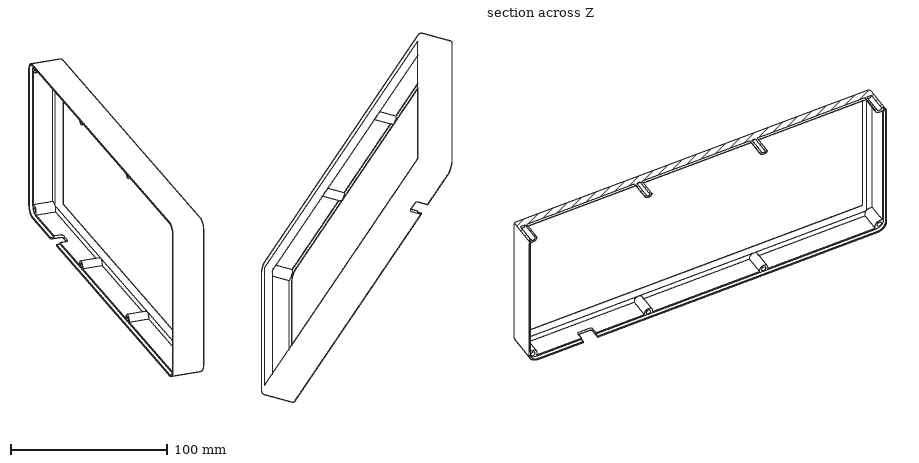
import cadquery as cq
import math

LENGTH = 261.6
DEPTH = 21.5
HEIGHT = 109.5
CORNER_RADIUS = 6.8
BACK_EDGE_FILLET = 1.5

WALL = 2.0
LIP_WALL = 1.0
LIP_DEPTH = 2.4
FLANGE_WIDTH = 6.0
FLANGE_THICKNESS = 5.8

BOSS_DIAMETER = 6.0
SCREW_HOLE_DIAMETER = 3.1
CORNER_BOSS_INSET = 4.2
EDGE_BOSS_INSET = FLANGE_WIDTH - BOSS_DIAMETER / 2
EDGE_BOSS_SPACING = 84.3

NOTCH_WIDTH = 10.5
NOTCH_DEPTH = 8.0
NOTCH_CORNER_RADIUS = 1.3
NOTCH_CENTER_FROM_LEFT = 45.0

FRONT_Y = -DEPTH / 2
BACK_Y = DEPTH / 2
LEDGE_Y = BACK_Y - FLANGE_THICKNESS
SEAT_Y = FRONT_Y + LIP_DEPTH


def plane_at(y):
    """XZ plane at the given Y whose extrusions run toward +Y."""
    return cq.Workplane(cq.Plane(origin=(0, y, 0), xDir=(1, 0, 0), normal=(0, -1, 0)))


def rounded_block(inset, y_start, y_end):
    """Block inset from the outer walls, with corners concentric to the outer ones."""
    block = plane_at(y_start).rect(LENGTH - 2 * inset, HEIGHT - 2 * inset).extrude(y_start - y_end)
    return block.edges("|Y").fillet(CORNER_RADIUS - inset)


def make_frame():
    """Outer shell hollowed to the walls, the lip recess and the flange opening."""
    body = rounded_block(0, FRONT_Y, BACK_Y).faces(">Y").edges().fillet(BACK_EDGE_FILLET)
    lip_recess = rounded_block(LIP_WALL, FRONT_Y, SEAT_Y)
    wall_cavity = rounded_block(WALL, SEAT_Y, LEDGE_Y)
    opening = rounded_block(FLANGE_WIDTH, FRONT_Y, BACK_Y)
    return body.cut(lip_recess).cut(wall_cavity).cut(opening)


def mirrored_points(x, z):
    """The point (x, z) repeated in all four quadrants."""
    return [(side_x * x, side_z * z) for side_x in (-1, 1) for side_z in (-1, 1)]


CORNER_BOSSES = mirrored_points(LENGTH / 2 - CORNER_BOSS_INSET, HEIGHT / 2 - CORNER_BOSS_INSET)
EDGE_BOSSES = mirrored_points(EDGE_BOSS_SPACING / 2, HEIGHT / 2 - EDGE_BOSS_INSET)


def boss_cylinders(centers, diameter):
    """Cylinders at the given centers, from the lip seat back to the flange ledge."""
    return plane_at(SEAT_Y).pushPoints(centers).circle(diameter / 2).extrude(SEAT_Y - LEDGE_Y)


def boss_webs(centers, size_x, size_z, shift_x, shift_z):
    """Straight-sided blocks joining bosses to the walls, shifted outward from each center."""
    outward = [
        (x + math.copysign(shift_x, x), z + math.copysign(shift_z, z))
        for x, z in centers
    ]
    return plane_at(SEAT_Y).pushPoints(outward).rect(size_x, size_z).extrude(SEAT_Y - LEDGE_Y)


def make_bosses():
    """Round-nosed bosses merged into the walls and trimmed inside the outer surface."""
    half_corner = CORNER_BOSS_INSET / 2
    half_edge = EDGE_BOSS_INSET / 2
    bosses = (
        boss_cylinders(CORNER_BOSSES + EDGE_BOSSES, BOSS_DIAMETER)
        .union(boss_webs(EDGE_BOSSES, BOSS_DIAMETER, EDGE_BOSS_INSET, 0, half_edge))
        .union(boss_webs(CORNER_BOSSES, BOSS_DIAMETER, CORNER_BOSS_INSET, 0, half_corner))
        .union(boss_webs(CORNER_BOSSES, CORNER_BOSS_INSET, BOSS_DIAMETER, half_corner, 0))
    )
    return bosses.intersect(rounded_block(LIP_WALL, SEAT_Y, LEDGE_Y))


def make_notch():
    """Cutter for the cable notch, passing through the bottom wall only."""
    block = cq.Workplane("XY").box(NOTCH_WIDTH, NOTCH_DEPTH, WALL, centered=(True, False, False))
    block = block.edges("|Z and >Y").fillet(NOTCH_CORNER_RADIUS)
    return block.translate((NOTCH_CENTER_FROM_LEFT - LENGTH / 2, FRONT_Y, -HEIGHT / 2))


result = (
    make_frame()
    .union(make_bosses())
    .cut(boss_cylinders(CORNER_BOSSES + EDGE_BOSSES, SCREW_HOLE_DIAMETER))
    .cut(make_notch())
)